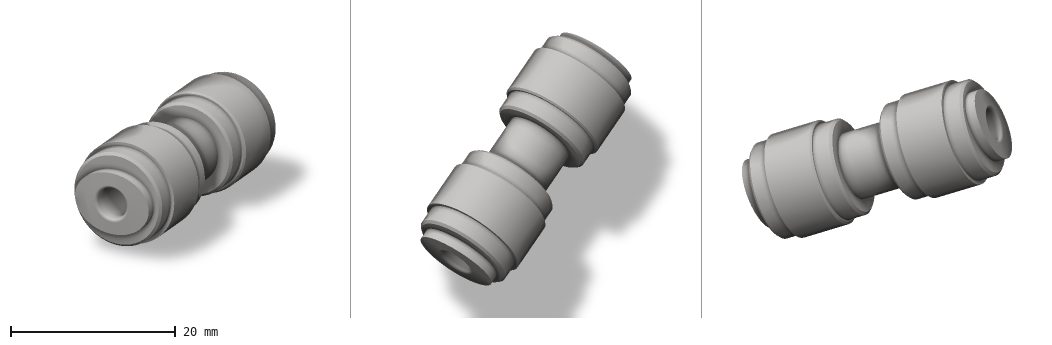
import cadquery as cq

half_length = 15.9
body_inner = 3.18
sleeve_inner = 5.7
sleeve_outer = 12.02
body_outer = 14.5
button_rim = 15.77
tube_stop = sleeve_inner

neck_radius = 4.2
body_radius = 6.1
sleeve_radius = 6.6
button_radius_x = 5.12
button_radius_z = 4.0
through_radius = 1.55
tube_radius = 2.0
mouth_radius = 2.4

body_chamfer = 0.32
sleeve_chamfer = 0.22
mouth_round = mouth_radius - tube_radius


def cylinder(radius, start, end):
    """Cylinder along +Y between two axial positions."""
    return cq.Workplane("XZ", origin=(0, start, 0)).circle(radius).extrude(start - end)


def release_button():
    """Elliptical button whose end face is a shallow cone around the mouth."""
    ellipse = (
        cq.Workplane("XZ", origin=(0, sleeve_outer, 0))
        .ellipse(button_radius_x, button_radius_z)
        .extrude(sleeve_outer - half_length)
    )
    cone_envelope = (
        cq.Workplane("XY")
        .moveTo(0, sleeve_outer)
        .lineTo(button_radius_x, sleeve_outer)
        .lineTo(button_radius_x, button_rim)
        .lineTo(mouth_radius, half_length)
        .lineTo(0, half_length)
        .close()
        .revolve(360, (0, 0), (0, 1))
    )
    return ellipse.intersect(cone_envelope)


def tube_socket():
    """Blind tube bore with a rounded mouth, as a cutting solid."""
    return (
        cq.Workplane("XY")
        .moveTo(0, tube_stop)
        .lineTo(tube_radius, tube_stop)
        .lineTo(tube_radius, half_length - mouth_round)
        .radiusArc((mouth_radius, half_length), mouth_round)
        .lineTo(0, half_length)
        .close()
        .revolve(360, (0, 0), (0, 1))
    )


def connector_end():
    """Body, sleeve, button and socket of the +Y end."""
    body = cylinder(body_radius, body_inner, body_outer).edges().chamfer(body_chamfer)
    sleeve = cylinder(sleeve_radius, sleeve_inner, sleeve_outer).edges("<Y").chamfer(sleeve_chamfer)
    return body.union(sleeve).union(release_button()).cut(tube_socket())


end = connector_end()
neck = cylinder(neck_radius, -body_inner, body_inner)
passage = cylinder(through_radius, -half_length, half_length)
result = neck.union(end).union(end.mirror("XZ")).cut(passage)